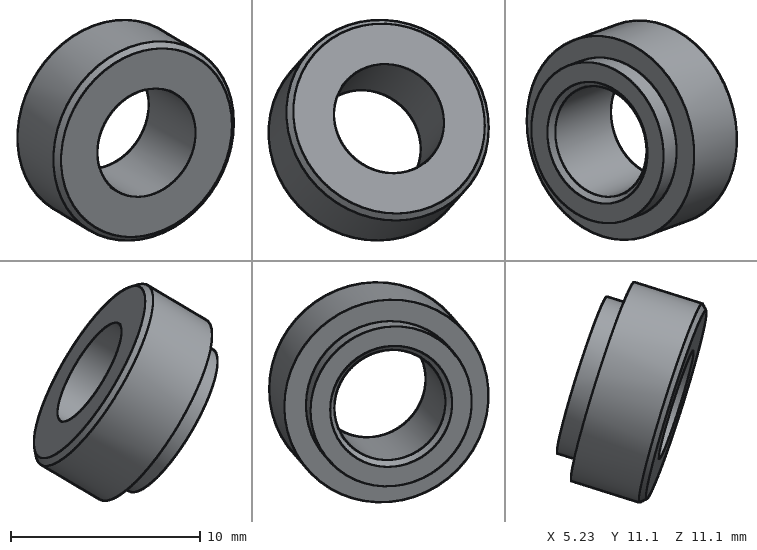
import cadquery as cq

total_length = 5.23
body_diameter = 11.05
collar_diameter = 8.72
collar_length = 1.15
bore_diameter = 6.0
chamfer = 0.3

body_length = total_length - collar_length

collar = cq.Workplane("YZ").circle(collar_diameter / 2).extrude(collar_length)
body = (
    cq.Workplane("YZ")
    .workplane(offset=collar_length)
    .circle(body_diameter / 2)
    .extrude(body_length)
    .faces(">X")
    .chamfer(chamfer)
)

bore = cq.Workplane("YZ").circle(bore_diameter / 2).extrude(total_length)
bore_entry = (
    cq.Workplane("YZ")
    .circle(bore_diameter / 2 + chamfer)
    .workplane(offset=chamfer)
    .circle(bore_diameter / 2)
    .loft(ruled=True)
)

result = collar.union(body).cut(bore).cut(bore_entry)